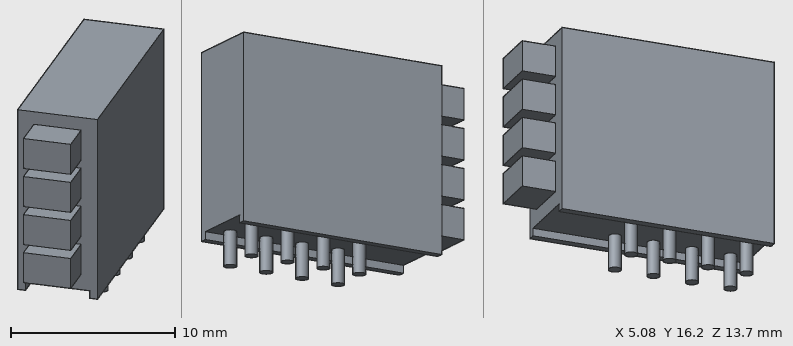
import cadquery as cq

body_width = 5.08
body_depth = 14.0
body_height = 12.0

foot_width = 0.5
foot_height = 0.5

pitch = 2.54
block_count = 4
block_width = 3.0
block_height = 2.0
block_length = 2.2
lowest_block_center = pitch

pin_diameter = 0.8
pin_rows = 2
pins_per_row = 4
pin_drop = 1.7
rear_pin_inset = 1.3


def make_housing():
    """Box standing on Z = 0 with its front face at Y = 0 and a channel below."""
    box = cq.Workplane("XY").box(body_width, body_depth, body_height, centered=(True, False, False))
    channel_width = body_width - 2 * foot_width
    channel = cq.Workplane("XY").box(channel_width, body_depth, foot_height, centered=(True, False, False))
    return box.cut(channel)


def make_block(index):
    """Front block, numbered upward from the lowest one."""
    bottom = lowest_block_center - block_height / 2 + index * pitch
    return (
        cq.Workplane("XY")
        .box(block_width, block_length, block_height, centered=(True, False, False))
        .translate((0, -block_length, bottom))
    )


def make_pin(row, index):
    """Pin from the channel ceiling downward; index counts forward from the rear."""
    x = (row - (pin_rows - 1) / 2) * pitch
    y = body_depth - rear_pin_inset - index * pitch
    return (
        cq.Workplane("XY")
        .workplane(offset=-pin_drop)
        .center(x, y)
        .circle(pin_diameter / 2)
        .extrude(pin_drop + foot_height)
    )


result = make_housing()
for block_index in range(block_count):
    result = result.union(make_block(block_index))
for row in range(pin_rows):
    for pin_index in range(pins_per_row):
        result = result.union(make_pin(row, pin_index))